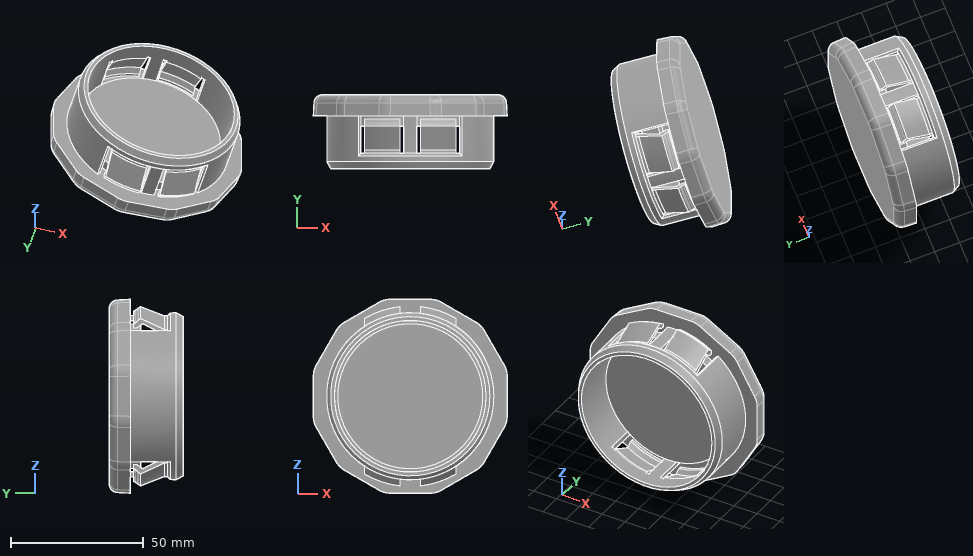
import cadquery as cq
import math

head_sides = 12
head_width = 73.15
head_height = 8.0
head_draft = 3.0
head_corner_radius = 8.4
head_edge_radius = 3.3

skirt_radius = 63.0 / 2
bore_radius = 57.1 / 2
skirt_length = 20.0
tip_chamfer_length = 2.7
tip_chamfer_depth = 1.5

disc_radius = 54.63 / 2
disc_height = 4.0

recess_depth = 1.0
recess_radius = skirt_radius - recess_depth
recess_length = 14.1
recess_half_width = 18.6
recess_side_bevel = 0.9
post_width = 5.0
clip_gap = 1.3

clip_inner_x = post_width / 2 + clip_gap
clip_outer_x = recess_half_width - clip_gap
clip_free_end = 1.25
clip_root_flat = 1.2
clip_root_inner_flat = 0.7
clip_end_inner_radius = 31.0
clip_knee_inner = (4.7, 32.3)
clip_foot_end = 2.5
clip_grip_face = [(clip_free_end, 32.3), (1.95, 32.7), (2.65, 33.15), (3.05, 33.55), (3.85, 34.0)]

clearance = 1.0


def revolve_profile(points):
    """Turn (distance below the head, radius) points about the Y axis."""
    outline = [(radius, -distance) for distance, radius in points]
    return cq.Workplane("XY").polyline(outline).close().revolve(360, (0, 0, 0), (0, 1, 0))


def box_between(x_min, x_max, length, z_max):
    """Box from the centre plane up to z_max, from the head down by length."""
    return cq.Workplane("XY").box(x_max - x_min, length, z_max, centered=False).translate((x_min, -length, 0))


def make_head():
    """Drafted twelve-sided prism with rounded corners and a rounded top edge."""
    corner_diameter = head_width / math.cos(math.pi / head_sides)
    half_step = 180 / head_sides
    prism = (
        cq.Workplane("XZ")
        .transformed(rotate=(0, 0, half_step))
        .polygon(head_sides, corner_diameter)
        .extrude(-head_height, taper=head_draft)
    )
    side_edges = prism.faces("not(|Y)").edges("not(#Y)")
    rounded = side_edges.fillet(head_corner_radius)
    return rounded.faces(">Y").edges().fillet(head_edge_radius)


def make_skirt():
    """Tube with a chamfered tip."""
    return revolve_profile([
        (0, bore_radius),
        (0, skirt_radius),
        (skirt_length - tip_chamfer_length, skirt_radius),
        (skirt_length, skirt_radius - tip_chamfer_depth),
        (skirt_length, bore_radius),
    ])


def make_disc():
    """Raised disc on the head, leaving a narrow gap to the bore."""
    return cq.Workplane("XZ").circle(disc_radius).extrude(disc_height)


def make_recess():
    """Bevelled recess on the +Z side, between the recess floor and the skirt surface."""
    ring = revolve_profile([
        (0, recess_radius),
        (0, skirt_radius + clearance),
        (recess_length + recess_depth + clearance, skirt_radius + clearance),
        (recess_length, recess_radius),
    ])
    floor_x = recess_half_width
    floor_z = math.sqrt(recess_radius**2 - floor_x**2)
    top_x = recess_half_width + recess_side_bevel
    top_z = math.sqrt(skirt_radius**2 - top_x**2)
    sides = (
        cq.Workplane("XZ")
        .polyline([
            (-floor_x, 0),
            (-floor_x, floor_z),
            (-top_x, top_z),
            (-top_x, skirt_radius + clearance),
            (top_x, skirt_radius + clearance),
            (top_x, top_z),
            (floor_x, floor_z),
            (floor_x, 0),
        ])
        .close()
        .extrude(skirt_length)
    )
    return ring.intersect(sides)


def make_window():
    """Opening through the skirt wall on the +X, +Z side."""
    ring = revolve_profile([
        (0, bore_radius - clearance),
        (0, skirt_radius + clearance),
        (recess_length, skirt_radius + clearance),
        (recess_length, bore_radius - clearance),
    ])
    return ring.intersect(
        box_between(post_width / 2, recess_half_width, recess_length, skirt_radius + clearance)
    )


def make_clip():
    """Snap clip on the +X, +Z side."""
    ring = revolve_profile(clip_grip_face + [
        (recess_length - clip_root_flat, recess_radius),
        (recess_length, recess_radius),
        (recess_length, bore_radius),
        (recess_length - clip_root_inner_flat, bore_radius),
        clip_knee_inner,
        (clip_foot_end, clip_end_inner_radius),
        (clip_free_end, clip_end_inner_radius),
    ])
    return ring.intersect(box_between(clip_inner_x, clip_outer_x, skirt_length, head_width / 2))


def on_both_ends(body):
    """The body together with its mirror image on the -Z side."""
    return body.union(body.mirror("XY"))


def in_four_quadrants(body):
    """The body together with its mirror images across both centre planes."""
    return on_both_ends(body.union(body.mirror("YZ")))


skirt = make_skirt().cut(on_both_ends(make_recess())).cut(in_four_quadrants(make_window()))
result = make_head().union(skirt).union(make_disc()).union(in_four_quadrants(make_clip()))